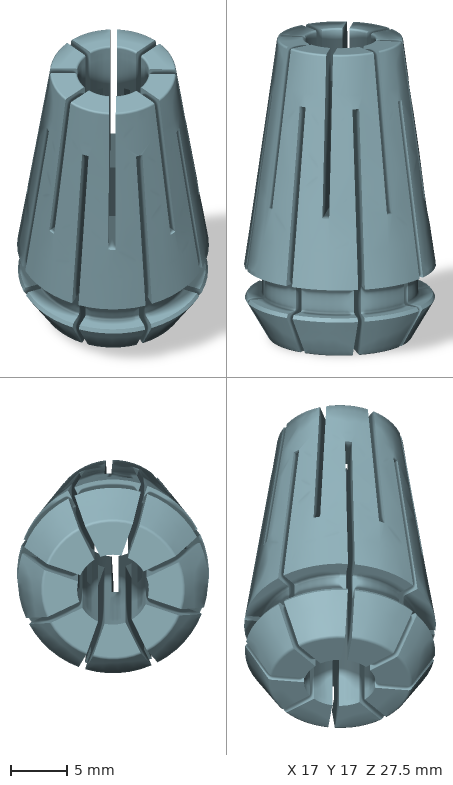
import cadquery as cq
import math

height = 27.5
bore_radius = 6.35 / 2

cone_base_radius = 8.5
cone_base_z = 6.65
cone_half_angle = 8.0
cone_length = height - cone_base_z
cone_top_radius = cone_base_radius - cone_length * math.tan(math.radians(cone_half_angle))

groove_radius = 6.9
collar_top_z = 4.02
collar_half_angle = 30.0
collar_base_radius = 6.3
collar_rim_z = 3.68
collar_rim_inset = 0.2
collar_rim_radius = collar_base_radius + collar_rim_z * math.tan(math.radians(collar_half_angle))

edge_fillet = 0.2
base_fillet = 0.3
match_tolerance = 0.003

slots_per_end = 8
slot_width = 0.6
bottom_slot_end_z = 22.65
top_slot_floor_z = 13.0
slot_pitch_angle = 360.0 / slots_per_end


def circles_at(body, circles):
    """Circular edges of the body that match one of the given (radius, z) pairs."""
    return [
        edge
        for edge in body.edges("%CIRCLE").vals()
        if any(
            math.hypot(edge.radius() - radius, edge.Center().z - z) < match_tolerance
            for radius, z in circles
        )
    ]


def collet_body():
    """Turned body: outline of the wall in the XZ plane, revolved about Z, then rounded."""
    outline = [
        (bore_radius, 0),
        (collar_base_radius, 0),
        (collar_rim_radius, collar_rim_z),
        (collar_rim_radius - collar_rim_inset, collar_top_z),
        (groove_radius, collar_top_z),
        (groove_radius, cone_base_z),
        (cone_base_radius, cone_base_z),
        (cone_top_radius, height),
        (bore_radius, height),
    ]
    body = cq.Workplane("XZ").polyline(outline).close().revolve(360, (0, 0, 0), (0, 1, 0))
    edge_circles = [
        (groove_radius, collar_top_z),
        (groove_radius, cone_base_z),
        (cone_top_radius, height),
        (bore_radius, height),
    ]
    base_circle = [(collar_base_radius, 0)]
    body = body.newObject(circles_at(body, edge_circles)).fillet(edge_fillet)
    return body.newObject(circles_at(body, base_circle)).fillet(base_fillet)


def slot_set(bottom_z, top_z, start_angle):
    """Radial slots between two heights; each blade spans the axis and cuts two opposite slots."""
    blade_length = 3 * cone_base_radius
    blade = (
        cq.Workplane("XY", origin=(0, 0, bottom_z))
        .rect(blade_length, slot_width)
        .extrude(top_z - bottom_z)
    )
    slots = cq.Workplane("XY")
    for index in range(slots_per_end // 2):
        angle = start_angle + index * slot_pitch_angle
        slots = slots.add(blade.rotate((0, 0, 0), (0, 0, 1), angle))
    return slots.combine()


result = collet_body().cut(slot_set(0, bottom_slot_end_z, 0))
result = result.cut(slot_set(top_slot_floor_z, height, slot_pitch_angle / 2))